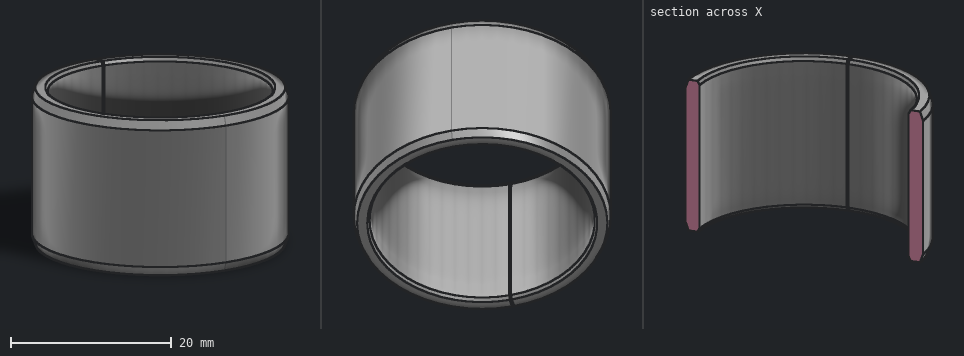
import cadquery as cq
import math

outer_diameter = 32.0
wall = 2.0
height = 20.0
outer_chamfer_height = 1.2
outer_chamfer_angle = 20.0
inner_chamfer_height = 0.5
inner_chamfer_depth = 0.3
slit_width = 0.25
slit_offset = 0.13

outer_radius = outer_diameter / 2
inner_radius = outer_radius - wall
half_height = height / 2
outer_chamfer_depth = outer_chamfer_height * math.tan(math.radians(outer_chamfer_angle))


def make_sleeve():
    """Revolve the wall section, chamfered at all four corners, about Z."""
    section = [
        (inner_radius, -half_height + inner_chamfer_height),
        (inner_radius + inner_chamfer_depth, -half_height),
        (outer_radius - outer_chamfer_depth, -half_height),
        (outer_radius, -half_height + outer_chamfer_height),
        (outer_radius, half_height - outer_chamfer_height),
        (outer_radius - outer_chamfer_depth, half_height),
        (inner_radius + inner_chamfer_depth, half_height),
        (inner_radius, half_height - inner_chamfer_height),
    ]
    return cq.Workplane("XZ").polyline(section).close().revolve(360, (0, 0, 0), (0, 1, 0))


def make_slit():
    """Full-height cutter through the wall on the -X side."""
    return (
        cq.Workplane("XY")
        .box(outer_radius, slit_width, height)
        .translate((-outer_radius, slit_offset, 0))
    )


result = make_sleeve().cut(make_slit())